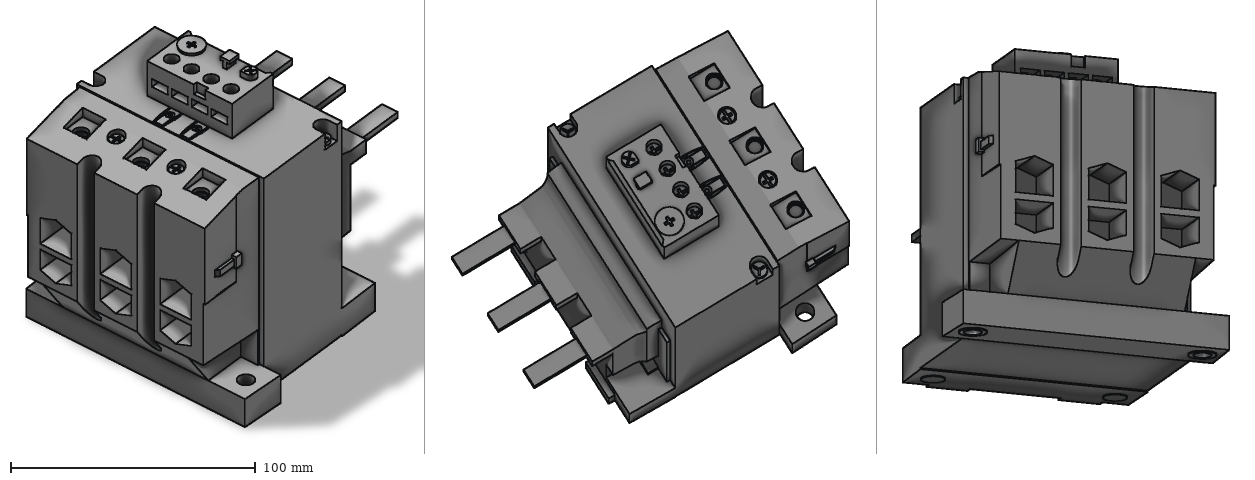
import cadquery as cq
import math


HOUSING_HALF = 49.7
HOUSING_FRONT = 35.1
HOUSING_REAR = 85.0
HOUSING_BOTTOM = 0.5
HOUSING_TOP = 110.9

SEAM_GAP = 0.4
SEAM_INSET = 0.4
TERMINAL_REAR = HOUSING_FRONT - SEAM_GAP
TERMINAL_REAR_HALF = 47.5
TERMINAL_FRONT_HALF = 46.6
SLOPE_REAR = 24.1
SLOPE_TOP = 110.6
FACE_TOP = 104.7
FACE_BOTTOM = 33.8
NOSE_HALF = 38.6
SHOULDER_WALL = 33.7
SHOULDER_REAR_Z = 32.5
PANEL_HALF = 47.3
PANEL_DEPTH = 20.3
PANEL_BOTTOM = 65.3

BASE_HEIGHT = 14.5
BASE_FRONT = 12.8
FRONT_FOOT_REAR_HALF = 118.0 / 2
FRONT_FOOT_FRONT_HALF = 58.1
BASE_REAR = 106.8
REAR_FOOT_HALF = 49.3
MOUNT_X = 50.1
MOUNT_Y = 23.0
MOUNT_DIAMETER = 7.5
FRONT_PAD_DIAMETER = 11.6
REAR_PAD_DIAMETER = 10.0
REAR_PAD_X = 39.8
REAR_PAD_Y = 96.8
PAD_HEIGHT = 0.4
TAB_OUTER = 37.9
TAB_INNER = 19.9
TAB_LENGTH = 3.0
TAB_HEIGHT = 8.5

TOWER_BOTTOM = 35.2
NECK_HALF = 31.1
PLATE_HALF = 45.7
PLATE_REAR = 86.6
PLATE_TOP = 77.4
WEB_REAR = 91.6
WEB_HALF = 39.0
WEB_EDGE_Z = 16.5
SHOULDER_TOP = 76.3
SHOULDER_BOTTOM = 69.2
SHOULDER_REAR = 116.7
SHOULDER_WIDTH = 16.8
BAR_PITCH = 28.0
BAR_WIDTH = 8.4
BAR_BOTTOM = 70.3
BAR_THICKNESS = 3.1
BAR_REAR = 142.0

POLE_PITCH = 31.8
GROOVE_WIDTH = 9.0
GROOVE_DEPTH = 7.5
ENTRY_WIDTH = 16.5
ENTRY_DEPTH = 19.9
ENTRY_POINT = 3.0
UPPER_ENTRY_FLAT = 54.1
UPPER_ENTRY_SHOULDER = 67.3
LOWER_ENTRY_FLAT = 51.1
LOWER_ENTRY_SHOULDER = 40.6
POCKET_WIDTH = 12.2
POCKET_FRONT = 12.4
POCKET_REAR = 24.7
POCKET_FLOOR = 106.0

CONTROL_HALF = 22.6
CONTROL_FRONT = 47.4
CONTROL_REAR = 73.7
CONTROL_TOP = 128.8
CONTROL_PITCH = 10.5
CONTROL_SCREW_Y = 55.0
BUTTON_TOP = 133.9

RECESS_DEPTH = 0.9
CROSS_SLOT = 1.0
FINE_SLOT = 0.7
LONG_ARM = 2.4
SHORT_ARM = 2.1


def box(x0, x1, y0, y1, z0, z1):
    """Box between two opposite corners."""
    return cq.Workplane("XY").box(x1 - x0, y1 - y0, z1 - z0, centered=False).translate((x0, y0, z0))


def cylinder(x, y, z0, z1, diameter):
    """Upright cylinder from z0 to z1."""
    return cq.Workplane("XY").circle(diameter / 2).extrude(z1 - z0).translate((x, y, z0))


def side_profile(points, half_width):
    """Prism with a (Y, Z) outline, symmetric about X = 0."""
    return cq.Workplane("YZ").polyline(points).close().extrude(half_width, both=True)


def tapered_block(y0, half0, y1, half1, z0, z1):
    """Block whose half width changes from half0 at y0 to half1 at y1."""
    plan = [(-half0, y0), (half0, y0), (half1, y1), (-half1, y1)]
    return cq.Workplane("XY").polyline(plan).close().extrude(z1 - z0).translate((0, 0, z0))


def tri_recess(x, y, top, depth, arm_length, arm_width):
    """Y-shaped recess of three equal arms, cut down from the level top."""
    recess = cylinder(x, y, top - depth, top, arm_width)
    for angle in (30, 150, 270):
        arm = box(0, arm_length, -arm_width / 2, arm_width / 2, top - depth, top)
        recess = recess.union(arm.rotate((0, 0, 0), (0, 0, 1), angle).translate((x, y, 0)))
    return recess


def cross_recess(x, y, top, depth, half_x, half_y, slot_width):
    """Two crossed slots, cut down from the level top."""
    half_slot = slot_width / 2
    along_x = box(x - half_x, x + half_x, y - half_slot, y + half_slot, top - depth, top)
    return along_x.union(box(x - half_slot, x + half_slot, y - half_y, y + half_y, top - depth, top))


def make_base():
    base = tapered_block(
        BASE_FRONT, FRONT_FOOT_FRONT_HALF, TERMINAL_REAR, FRONT_FOOT_REAR_HALF, 0, BASE_HEIGHT)
    base = base.union(
        tapered_block(HOUSING_REAR, HOUSING_HALF, BASE_REAR, REAR_FOOT_HALF, 0, BASE_HEIGHT))
    tab = box(TAB_INNER, TAB_OUTER, BASE_REAR, BASE_REAR + TAB_LENGTH, 0, TAB_HEIGHT)
    base = base.union(tab).union(tab.mirror("YZ"))
    for side in (-1, 1):
        base = base.union(cylinder(side * MOUNT_X, MOUNT_Y, -PAD_HEIGHT, 0, FRONT_PAD_DIAMETER))
        base = base.union(cylinder(side * REAR_PAD_X, REAR_PAD_Y, -PAD_HEIGHT, 0, REAR_PAD_DIAMETER))
        base = base.cut(cylinder(side * MOUNT_X, MOUNT_Y, -PAD_HEIGHT, BASE_HEIGHT, MOUNT_DIAMETER))
    return base


def make_terminal_block():
    outline = [
        (TERMINAL_REAR, 0),
        (TERMINAL_REAR, HOUSING_TOP),
        (SLOPE_REAR, SLOPE_TOP),
        (0, FACE_TOP),
        (0, FACE_BOTTOM),
        (BASE_FRONT, BASE_HEIGHT),
        (BASE_FRONT, 0),
    ]
    envelope = side_profile(outline, HOUSING_HALF)
    block = envelope.intersect(
        tapered_block(0, TERMINAL_FRONT_HALF, TERMINAL_REAR, TERMINAL_REAR_HALF, 0, HOUSING_TOP))
    panel = box(-PANEL_HALF, PANEL_HALF, 0, PANEL_DEPTH, PANEL_BOTTOM, HOUSING_TOP)
    block = block.union(envelope.intersect(panel))

    shoulder = [(0, 0), (SHOULDER_WALL, 0), (SHOULDER_WALL, SHOULDER_REAR_Z), (0, FACE_BOTTOM)]
    block = block.cut(side_profile(shoulder, HOUSING_HALF).cut(side_profile(shoulder, NOSE_HALF)))

    neck_half = TERMINAL_REAR_HALF - SEAM_INSET
    neck_top = HOUSING_TOP - SEAM_INSET
    neck = box(-neck_half, neck_half, TERMINAL_REAR, HOUSING_FRONT, HOUSING_BOTTOM, neck_top)
    return block.union(neck)


def cut_phase_grooves(body):
    """Vertical round-bottomed grooves between the poles."""
    radius = GROOVE_WIDTH / 2
    centre_y = GROOVE_DEPTH - radius
    mouth_y = -1.4
    groove = (
        cq.Workplane("XY")
        .moveTo(-radius, mouth_y)
        .lineTo(-radius, centre_y)
        .threePointArc((0, GROOVE_DEPTH), (radius, centre_y))
        .lineTo(radius, mouth_y)
        .close()
        .extrude(HOUSING_TOP - BASE_HEIGHT)
        .translate((0, 0, BASE_HEIGHT))
    )
    for side in (-1, 1):
        body = body.cut(groove.translate((side * POLE_PITCH / 2, 0, 0)))
    return body


def wire_entry(x, flat_z, shoulder_z, point_rise):
    """Five-sided wire opening with one flat end and one pointed end."""
    half = ENTRY_WIDTH / 2
    outline = [
        (x - half, flat_z),
        (x + half, flat_z),
        (x + half, shoulder_z),
        (x, shoulder_z + point_rise),
        (x - half, shoulder_z),
    ]
    return cq.Workplane("XZ").polyline(outline).close().extrude(-ENTRY_DEPTH)


def cut_poles(body):
    """Wire entries, clamp pockets and stepped clamp holes of each pole."""
    hole_y = 16.2
    hole_diameter, inner_diameter = 7.0, 5.8
    hole_depth, inner_depth = 2.0, 2.1
    hole_floor = POCKET_FLOOR - hole_depth
    inner_floor = hole_floor - inner_depth
    for pole in (-1, 0, 1):
        x = pole * POLE_PITCH
        body = body.cut(wire_entry(x, UPPER_ENTRY_FLAT, UPPER_ENTRY_SHOULDER, ENTRY_POINT))
        body = body.cut(wire_entry(x, LOWER_ENTRY_FLAT, LOWER_ENTRY_SHOULDER, -ENTRY_POINT))
        half = POCKET_WIDTH / 2
        body = body.cut(box(x - half, x + half, POCKET_FRONT, POCKET_REAR, POCKET_FLOOR, HOUSING_TOP))
        body = body.cut(cylinder(x, hole_y, hole_floor, POCKET_FLOOR, hole_diameter))
        body = body.cut(cylinder(x, hole_y, inner_floor, hole_floor, inner_diameter))
    return body


def cut_cover_screws(body):
    """Cross-head screws sunk in the terminal top between the poles."""
    y = 19.7
    hole_diameter = 7.5
    head_diameter = 6.5
    head_top = 108.2
    floor = 106.8
    for side in (-1, 1):
        x = side * POLE_PITCH / 2
        body = body.cut(cylinder(x, y, floor, HOUSING_TOP, hole_diameter))
        body = body.union(cylinder(x, y, floor, head_top, head_diameter))
        body = body.cut(cross_recess(x, y, head_top, RECESS_DEPTH, head_diameter / 2, SHORT_ARM, CROSS_SLOT))
    return body


def make_side_clips():
    """Snap clip with a tapered arm on each side of the terminal block."""
    embed_depth = 1.4
    root_half = TERMINAL_FRONT_HALF - embed_depth
    arm_half = 48.7
    arm_tip_half = 47.1
    head_front, head_rear = 17.3, 20.9
    head_bottom, head_top = 74.8, 80.8
    arm_tip, arm_taper = 6.4, 8.4
    clips = box(-HOUSING_HALF, HOUSING_HALF, head_front, head_rear, head_bottom, head_top)
    arm_plan = [
        (-arm_tip_half, arm_tip),
        (arm_tip_half, arm_tip),
        (arm_half, arm_taper),
        (arm_half, head_front),
        (-arm_half, head_front),
        (-arm_half, arm_taper),
    ]
    arm_bottom, arm_top = 75.8, 79.2
    arms = cq.Workplane("XY").polyline(arm_plan).close().extrude(arm_top - arm_bottom)
    clips = clips.union(arms.translate((0, 0, arm_bottom)))
    return clips.cut(box(-root_half, root_half, 0, head_rear, head_bottom, head_top))


def make_tower():
    """Waisted rear tower carrying the busbars."""
    waist_y, throat_y = 96.4, 92.0
    waist_half, throat_half = 36.8, 38.8
    rear_half, root_half = 36.4, 39.2
    plan_arc_half, plan_arc_y = 37.5, 94.0
    waist_z, throat_z, crest_z, root_z = 79.2, 84.0, 87.2, 88.6
    throat_arc_mid = (93.3, 81.0)
    crest_arc_mid = (88.6, 88.3)
    plan = (
        cq.Workplane("XY")
        .moveTo(-root_half, HOUSING_REAR)
        .lineTo(root_half, HOUSING_REAR)
        .lineTo(throat_half, throat_y)
        .threePointArc((plan_arc_half, plan_arc_y), (waist_half, waist_y))
        .lineTo(rear_half, BASE_REAR)
        .lineTo(-rear_half, BASE_REAR)
        .lineTo(-waist_half, waist_y)
        .threePointArc((-plan_arc_half, plan_arc_y), (-throat_half, throat_y))
        .close()
        .extrude(HOUSING_TOP - TOWER_BOTTOM)
        .translate((0, 0, TOWER_BOTTOM))
    )
    profile = (
        cq.Workplane("YZ")
        .moveTo(HOUSING_REAR, 0)
        .lineTo(BASE_REAR, 0)
        .lineTo(BASE_REAR, SHOULDER_TOP)
        .lineTo(waist_y, waist_z)
        .threePointArc(throat_arc_mid, (throat_y, throat_z))
        .lineTo(throat_y, crest_z)
        .threePointArc(crest_arc_mid, (HOUSING_REAR, root_z))
        .close()
        .extrude(HOUSING_HALF, both=True)
    )
    tower = plan.intersect(profile)
    tower = tower.union(box(-NECK_HALF, NECK_HALF, HOUSING_REAR, BASE_REAR, BASE_HEIGHT, TOWER_BOTTOM))
    tower = tower.union(box(-PLATE_HALF, PLATE_HALF, HOUSING_REAR, PLATE_REAR, BASE_HEIGHT, PLATE_TOP))

    web_radius = WEB_HALF - NECK_HALF
    web_top = WEB_EDGE_Z + web_radius
    arc_inset = web_radius * math.sqrt(0.5)
    arc_mid = (WEB_HALF - arc_inset, web_top - arc_inset)
    web = (
        cq.Workplane("XZ")
        .moveTo(0, BASE_HEIGHT)
        .lineTo(WEB_HALF, BASE_HEIGHT)
        .lineTo(WEB_HALF, WEB_EDGE_Z)
        .threePointArc(arc_mid, (NECK_HALF, web_top))
        .lineTo(0, web_top)
        .close()
        .extrude(HOUSING_REAR - WEB_REAR)
        .translate((0, HOUSING_REAR, 0))
    )
    return tower.union(web).union(web.mirror("YZ"))


def make_busbars():
    """Three flat bars, each leaving the tower through a rectangular shoulder."""
    bars = cq.Workplane("XY")
    half = SHOULDER_WIDTH / 2
    bar_half = BAR_WIDTH / 2
    bar_top = BAR_BOTTOM + BAR_THICKNESS
    for pole in (-1, 0, 1):
        x = pole * BAR_PITCH
        shoulder = box(x - half, x + half, HOUSING_REAR, SHOULDER_REAR, SHOULDER_BOTTOM, SHOULDER_TOP)
        bar = box(x - bar_half, x + bar_half, HOUSING_REAR, BAR_REAR, BAR_BOTTOM, bar_top)
        bars = bars.add(shoulder.union(bar))
    return bars.combine()


def cut_housing_screws(body):
    """Tri-arm screws in side-open wells at two diagonal corners of the housing."""
    offset_x = 45.3
    offset_y = 18.0
    well_diameter = 7.8
    head_diameter = 6.7
    floor, head_top = 102.5, 104.5
    centre_y = (HOUSING_FRONT + HOUSING_REAR) / 2
    for side in (-1, 1):
        x = side * offset_x
        y = centre_y + side * offset_y
        radius = well_diameter / 2
        inner, outer = sorted((x, side * HOUSING_HALF))
        body = body.cut(cylinder(x, y, floor, HOUSING_TOP, well_diameter))
        body = body.cut(box(inner, outer, y - radius, y + radius, floor, HOUSING_TOP))
        body = body.union(cylinder(x, y, floor, head_top, head_diameter))
        body = body.cut(tri_recess(x, y, head_top, RECESS_DEPTH, LONG_ARM, FINE_SLOT))
    return body


def cut_test_terminals(body):
    """Two shallow recesses tapering to the housing front, each around a flush tongue."""
    offset_x = 7.1
    depth = 1.1
    floor = HOUSING_TOP - depth
    bend_y = 42.9
    rear_half, front_half = 3.4, 2.4
    head_half, tail_half = 2.7, 2.0
    tongue_front = 36.0
    screw_y = 43.6
    hole_diameter, socket_diameter = 3.8, 1.7
    arc_half, arc_y = 3.1, (bend_y + HOUSING_FRONT) / 2
    recess = (
        cq.Workplane("XY")
        .moveTo(-rear_half, CONTROL_FRONT)
        .lineTo(rear_half, CONTROL_FRONT)
        .lineTo(rear_half, bend_y)
        .threePointArc((arc_half, arc_y), (front_half, HOUSING_FRONT))
        .lineTo(-front_half, HOUSING_FRONT)
        .threePointArc((-arc_half, arc_y), (-rear_half, bend_y))
        .close()
        .extrude(depth)
        .translate((0, 0, floor))
    )
    recess = recess.cut(box(-head_half, head_half, bend_y, CONTROL_FRONT, floor, HOUSING_TOP))
    recess = recess.cut(box(-tail_half, tail_half, tongue_front, bend_y, floor, HOUSING_TOP))
    recess = recess.union(cylinder(0, screw_y, HOUSING_TOP - depth / 2, HOUSING_TOP, hole_diameter))
    recess = recess.union(cylinder(0, screw_y, floor, HOUSING_TOP, socket_diameter))
    for side in (-1, 1):
        body = body.cut(recess.translate((side * offset_x, 0, 0)))
    return body


def make_control_block():
    block = box(-CONTROL_HALF, CONTROL_HALF, CONTROL_FRONT, CONTROL_REAR, HOUSING_TOP, CONTROL_TOP)

    bevel_half, bevel_depth, bevel_run = 21.2, 2.1, 1.5
    bevel_front = CONTROL_REAR - bevel_run
    bevel_outline = [
        (CONTROL_REAR, CONTROL_TOP),
        (bevel_front, CONTROL_TOP),
        (CONTROL_REAR, CONTROL_TOP - bevel_depth),
    ]
    bevel_plan = tapered_block(
        bevel_front, bevel_half - bevel_run, CONTROL_REAR, bevel_half, HOUSING_TOP, CONTROL_TOP)
    block = block.cut(side_profile(bevel_outline, bevel_half).intersect(bevel_plan))

    window_bottom, window_top = 116.7, 120.8
    window_half, window_rear = 4.3, 59.6
    head_top = 122.8
    hole_diameter = 6.5
    shank_diameter = 3.3
    for pitches_from_centre in (-1.5, -0.5, 0.5, 1.5):
        x = pitches_from_centre * CONTROL_PITCH
        block = block.cut(
            box(x - window_half, x + window_half, CONTROL_FRONT, window_rear, window_bottom, window_top))
        block = block.union(cylinder(x, CONTROL_SCREW_Y, window_bottom, window_top, shank_diameter))
        block = block.cut(cylinder(x, CONTROL_SCREW_Y, head_top, CONTROL_TOP, hole_diameter))
        recess = cross_recess(
            x, CONTROL_SCREW_Y, head_top, RECESS_DEPTH, SHORT_ARM, hole_diameter / 2, CROSS_SLOT)
        block = block.cut(recess)

    notch_left, notch_right, notch_rear, notch_floor = 2.1, 8.2, 49.4, 123.8
    return block.cut(box(notch_left, notch_right, CONTROL_FRONT, notch_rear, notch_floor, CONTROL_TOP))


def make_controls():
    """Setting dial, T-shaped stop button and selector on the control block."""
    dial_x, dial_y, dial_top = -14.5, 66.2, 130.2
    dial_base_diameter, dial_diameter = 11.4, 12.0
    dial = (
        cq.Workplane("XY")
        .workplane(offset=CONTROL_TOP)
        .circle(dial_base_diameter / 2)
        .workplane(offset=dial_top - CONTROL_TOP)
        .circle(dial_diameter / 2)
        .loft()
        .translate((dial_x, dial_y, 0))
    )
    dial = dial.cut(cross_recess(dial_x, dial_y, dial_top, RECESS_DEPTH, SHORT_ARM, SHORT_ARM, CROSS_SLOT))

    button_front, button_rear, cap_bottom = 63.8, 69.7, 132.2
    cap_left, cap_right, stem_left, stem_right = 2.7, 7.7, 4.1, 6.1
    stem = box(stem_left, stem_right, button_front, button_rear, CONTROL_TOP, cap_bottom)
    cap = box(cap_left, cap_right, button_front, button_rear, cap_bottom, BUTTON_TOP)

    selector_x, selector_y, selector_top = 16.5, 66.6, 131.8
    selector_diameter = 6.0
    radius = selector_diameter / 2
    selector = cylinder(selector_x, selector_y, CONTROL_TOP, selector_top, selector_diameter)
    selector = selector.union(
        box(selector_x - radius, selector_x, selector_y - radius, selector_y, CONTROL_TOP, selector_top))
    slots = cross_recess(0, 0, selector_top, RECESS_DEPTH, LONG_ARM, LONG_ARM, FINE_SLOT)
    slots = slots.rotate((0, 0, 0), (0, 0, 1), 45).translate((selector_x, selector_y, 0))
    selector = selector.cut(slots)
    return dial.union(stem).union(cap).union(selector)


body = box(-HOUSING_HALF, HOUSING_HALF, HOUSING_FRONT, HOUSING_REAR, HOUSING_BOTTOM, HOUSING_TOP)
body = body.union(make_terminal_block()).union(make_base())
body = body.union(make_tower()).union(make_busbars()).union(make_side_clips())
body = cut_phase_grooves(body)
body = cut_poles(body)
body = cut_cover_screws(body)
body = cut_housing_screws(body)
body = cut_test_terminals(body)
result = body.union(make_control_block()).union(make_controls())